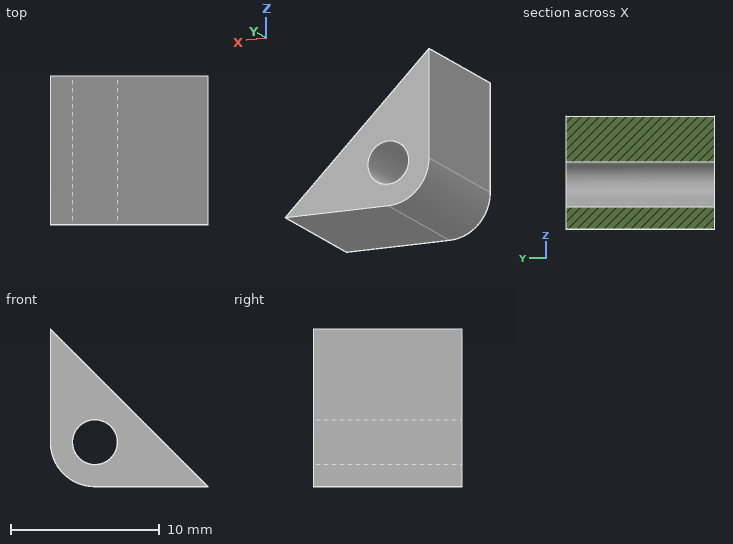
import cadquery as cq
import math

hypotenuse = 15.0
depth = 10.0
corner_radius = 3.0
hole_diameter = 3.0

leg = hypotenuse / math.sqrt(2)

arc_middle = corner_radius * (1 - math.sqrt(0.5))


def make_wedge():
    """Triangular prism along Y with its right-angled corner rounded."""
    return (
        cq.Workplane("XZ")
        .moveTo(corner_radius, 0)
        .lineTo(leg, 0)
        .lineTo(0, leg)
        .lineTo(0, corner_radius)
        .threePointArc((arc_middle, arc_middle), (corner_radius, 0))
        .close()
        .extrude(-depth)
    )


def make_hole():
    """Cylinder along Y, on the axis of the rounded corner."""
    return (
        cq.Workplane("XZ")
        .center(corner_radius, corner_radius)
        .circle(hole_diameter / 2)
        .extrude(-depth)
    )


result = make_wedge().cut(make_hole())